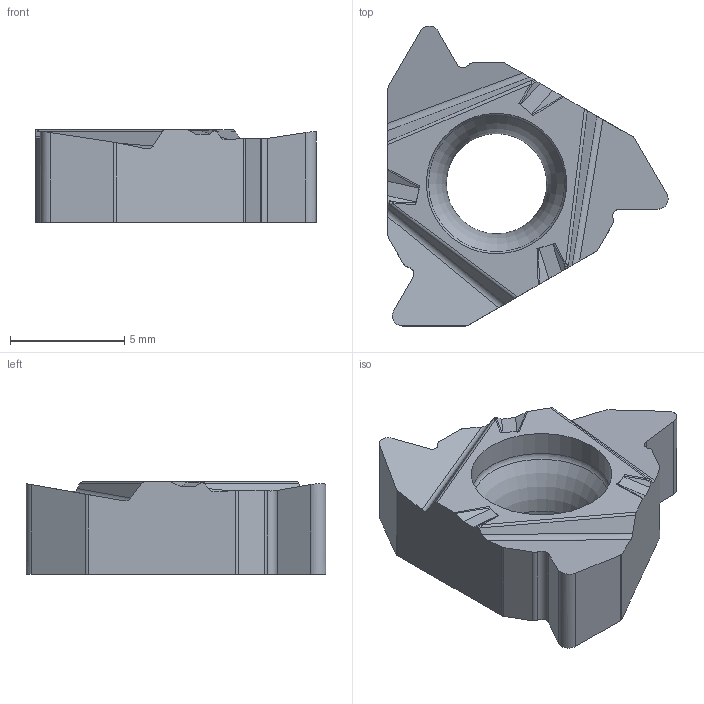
import cadquery as cq
import math

CORNERS = 3
CORNER_STEP = 360 / CORNERS

THICKNESS = 4.07
INSCRIBED_RADIUS = 9.525 / 2
CORNER_RADIUS = 0.25

FLANK_ANGLE = 30
TIP_RADIUS = 0.45
TIP_CENTER = (-2.955, 6.46)
SHOULDER_Y = 5.295

NOTCH_RADIUS = 0.3
NOTCH_DEPTH = 0.215
NOTCH_LIP_RADIUS = 0.25

RAKE_ANGLE = 10
TIP_HEIGHT = 3.98
GROOVE_POINT = (0.826, 4.541)
GROOVE_DIRECTION = 20.65
GROOVE_WALL_ANGLE = 56
GROOVE_RADIUS = 0.3
GROOVE_EDGE_RADIUS = 0.16
GROOVE_EDGE_MIDDLE = (-1.45, 3.25)
CUTTER_REACH = 9

POCKET_END = (-3.4575, -0.509)
POCKET_DIRECTION = 167.4
POCKET_LENGTH = 1.6
POCKET_END_DEPTH = 0.05
POCKET_MOUTH_DEPTH = 0.24
POCKET_FLOOR_WIDTH = 0.62
POCKET_END_SLOPES = (0.06, 0.06)
POCKET_MOUTH_SLOPES = (0.52, 0.36)
POCKET_RIM_RADIUS = 0.12
POCKET_RIM_POINTS = ((-4.1, 0.26), (-4.0, -0.9))

BORE_RADIUS = 4.4 / 2
BORE_TOP_DEPTH = 3.53
HEAD_RADIUS = 6.16 / 2
HEAD_DEPTH = 1.06
SEAT_RIM_RADIUS = 0.4


def unit(angle):
    return cq.Vector(math.cos(math.radians(angle)), math.sin(math.radians(angle)))


def line_crossing(normal_a, distance_a, normal_b, distance_b):
    """Point where two lines meet, each given by its normal angle and its distance from the origin."""
    a = unit(normal_a)
    b = unit(normal_b)
    det = a.x * b.y - a.y * b.x
    return cq.Vector((distance_a * b.y - distance_b * a.y) / det, (a.x * distance_b - b.x * distance_a) / det)


def turned(point, corner):
    """The point carried clockwise from the +Y tooth to the given corner."""
    angle = math.radians(-CORNER_STEP * corner)
    return cq.Vector(
        point.x * math.cos(angle) - point.y * math.sin(angle),
        point.x * math.sin(angle) + point.y * math.cos(angle),
    )


LEFT_NORMAL = 180 - FLANK_ANGLE
RIGHT_NORMAL = FLANK_ANGLE
tip_center = cq.Vector(*TIP_CENTER)
left_flank_distance = tip_center.dot(unit(LEFT_NORMAL)) + TIP_RADIUS
right_flank_distance = tip_center.dot(unit(RIGHT_NORMAL)) + TIP_RADIUS
notch_center_y = SHOULDER_Y - NOTCH_DEPTH + NOTCH_RADIUS
notch_center = line_crossing(RIGHT_NORMAL, right_flank_distance + NOTCH_RADIUS, 90, notch_center_y)
notch_half_width = math.sqrt(NOTCH_RADIUS**2 - (notch_center_y - SHOULDER_Y) ** 2)

flank_foot = line_crossing(180, INSCRIBED_RADIUS, LEFT_NORMAL, left_flank_distance)
tip_start = tip_center + unit(LEFT_NORMAL) * TIP_RADIUS
tip_top = tip_center + unit(90) * TIP_RADIUS
tip_end = tip_center + unit(RIGHT_NORMAL) * TIP_RADIUS
notch_start = notch_center - unit(RIGHT_NORMAL) * NOTCH_RADIUS
notch_bottom = notch_center - unit(90) * NOTCH_RADIUS
notch_lip = cq.Vector(notch_center.x + notch_half_width, SHOULDER_Y)
shoulder_end = line_crossing(90, SHOULDER_Y, 180 - CORNER_STEP, INSCRIBED_RADIUS)


def round_upright_edges(body, point, radius):
    for corner in range(CORNERS):
        place = turned(point, corner)
        middle = (place.x, place.y, THICKNESS / 2)
        body = body.edges(cq.selectors.NearestToPointSelector(middle)).fillet(radius)
    return body


def make_body():
    outline = cq.Workplane("XY").moveTo(flank_foot.x, flank_foot.y)
    for corner in range(CORNERS):
        if corner > 0:
            foot = turned(flank_foot, corner)
            outline = outline.lineTo(foot.x, foot.y)
        start, top, end = [turned(p, corner).toTuple()[:2] for p in (tip_start, tip_top, tip_end)]
        outline = outline.lineTo(*start).threePointArc(top, end)
        start, bottom, lip = [turned(p, corner).toTuple()[:2] for p in (notch_start, notch_bottom, notch_lip)]
        outline = outline.lineTo(*start).threePointArc(bottom, lip)
        shoulder = turned(shoulder_end, corner)
        outline = outline.lineTo(shoulder.x, shoulder.y)
    body = outline.close().extrude(THICKNESS)
    body = round_upright_edges(body, flank_foot, CORNER_RADIUS)
    body = round_upright_edges(body, shoulder_end, CORNER_RADIUS)
    return round_upright_edges(body, notch_lip, NOTCH_LIP_RADIUS)


def cut_at_corners(body, cutter):
    for corner in range(CORNERS):
        body = body.cut(cutter.rotate((0, 0, 0), (0, 0, 1), -CORNER_STEP * corner))
    return body


def make_rake_cutter():
    """Prism along the valley line where the rake face meets the groove wall."""
    rake_slope = math.tan(math.radians(RAKE_ANGLE))
    valley_rise = rake_slope * math.sin(math.radians(GROOVE_DIRECTION))
    tip_y = tip_center.y + TIP_RADIUS
    valley_z = TIP_HEIGHT - rake_slope * (tip_y - GROOVE_POINT[1])
    along = unit(GROOVE_DIRECTION)
    valley = cq.Plane(
        origin=(*GROOVE_POINT, valley_z),
        xDir=unit(GROOVE_DIRECTION + 90),
        normal=cq.Vector(along.x, along.y, valley_rise),
    )
    section_slope = (
        rake_slope * math.cos(math.radians(GROOVE_DIRECTION)) * math.cos(math.atan(valley_rise))
    )
    wall_top = (-THICKNESS / math.tan(math.radians(GROOVE_WALL_ANGLE)), THICKNESS)
    profile = [(0, 0), (CUTTER_REACH, CUTTER_REACH * section_slope), (CUTTER_REACH, THICKNESS), wall_top]
    cutter = cq.Workplane(valley).polyline(profile).close().extrude(CUTTER_REACH, both=True)
    return cutter.edges(cq.selectors.NearestToPointSelector(valley.origin.toTuple())).fillet(GROOVE_RADIUS)


def round_groove_edges(body):
    """Round the edges where the groove walls run out into the flat top face."""
    for corner in range(CORNERS):
        place = turned(cq.Vector(*GROOVE_EDGE_MIDDLE), corner)
        edge = cq.selectors.NearestToPointSelector((place.x, place.y, THICKNESS))
        body = body.faces(">Z").edges(edge).fillet(GROOVE_EDGE_RADIUS)
    return body


def make_pocket_cutter():
    """Pocket whose floor dips and whose side slopes widen from the closed end to the mouth."""

    def section(depth, slopes):
        half = POCKET_FLOOR_WIDTH / 2
        floor = -depth
        left = -half - 2 * slopes[0]
        right = half + 2 * slopes[1]
        return [(-half, floor), (half, floor), (right, depth), (left, depth)]

    end = cq.Plane(
        origin=(*POCKET_END, THICKNESS),
        xDir=unit(POCKET_DIRECTION + 90),
        normal=unit(POCKET_DIRECTION),
    )
    return (
        cq.Workplane(end)
        .polyline(section(POCKET_END_DEPTH, POCKET_END_SLOPES))
        .close()
        .workplane(offset=POCKET_LENGTH)
        .polyline(section(POCKET_MOUTH_DEPTH, POCKET_MOUTH_SLOPES))
        .close()
        .loft(ruled=True, combine=True)
    )


def round_pocket_rims(body):
    """Round the two long rims of every pocket."""
    for corner in range(CORNERS):
        rim = []
        for point in POCKET_RIM_POINTS:
            place = turned(cq.Vector(*point), corner)
            edge = cq.selectors.NearestToPointSelector((place.x, place.y, THICKNESS))
            rim.extend(body.faces(">Z").edges(edge).vals())
        body = body.newObject(rim).fillet(POCKET_RIM_RADIUS)
    return body


def make_screw_hole():
    """Hole turned from a half section; a concave rim and a convex flare join recess and bore tangentially."""
    rim_x = HEAD_RADIUS - SEAT_RIM_RADIUS
    rim_z = THICKNESS - HEAD_DEPTH
    flare_z = THICKNESS - BORE_TOP_DEPTH
    flare_radius = (
        (rim_x - BORE_RADIUS) ** 2 + (rim_z - flare_z) ** 2 - SEAT_RIM_RADIUS**2
    ) / (2 * (HEAD_RADIUS - BORE_RADIUS))
    flare_x = BORE_RADIUS + flare_radius
    share = SEAT_RIM_RADIUS / (SEAT_RIM_RADIUS + flare_radius)
    touch = (rim_x + (flare_x - rim_x) * share, rim_z + (flare_z - rim_z) * share)
    return (
        cq.Workplane("XZ")
        .lineTo(BORE_RADIUS, 0)
        .lineTo(BORE_RADIUS, flare_z)
        .radiusArc(touch, flare_radius)
        .radiusArc((HEAD_RADIUS, rim_z), -SEAT_RIM_RADIUS)
        .lineTo(HEAD_RADIUS, THICKNESS)
        .lineTo(0, THICKNESS)
        .close()
        .revolve(360, (0, 0, 0), (0, 1, 0))
    )


result = make_body()
result = cut_at_corners(result, make_rake_cutter())
result = round_groove_edges(result)
result = cut_at_corners(result, make_pocket_cutter())
result = round_pocket_rims(result)
result = result.cut(make_screw_hole())